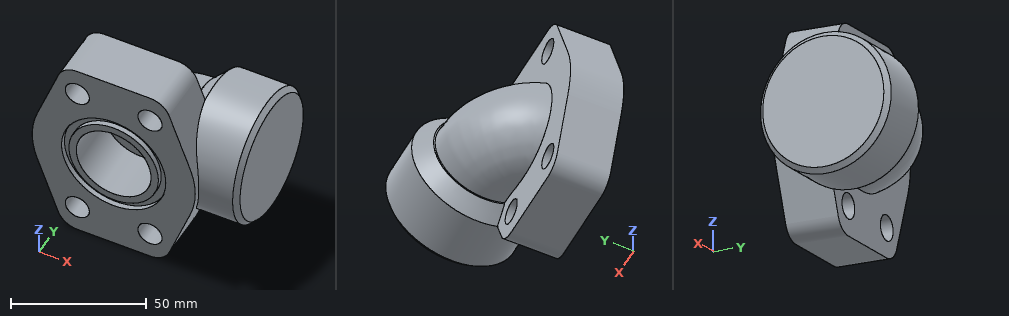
import cadquery as cq
import math

flange_thickness = 22.0
flange_height = 82.0
side_radius = 33.9
corner_radius = 8.5

bolt_x = 15.1
bolt_z = 29.4
bolt_diameter = 10.0

bore_diameter = 31.05
bore_depth = flange_thickness
groove_inner_diameter = 37.2
groove_outer_diameter = 43.3
groove_depth = 2.3

outlet_axis_y = 30.0
outlet_radius = 27.3
outlet_start_x = 20.5
outlet_end_x = 83.9 - side_radius
outlet_cone_length = 6.0
outlet_chamfer = 2.0
elbow_radius = 20.55
bend_radius = 20.6


def front_circle(diameter, depth):
    """Cylinder running from the front face into the flange."""
    return cq.Workplane("XZ").circle(diameter / 2).extrude(-depth)


def make_flange():
    """Hexagonal plate with rounded sides and corners, each arc tangent to the straight edges."""
    corner_z = flange_height / 2 - corner_radius
    center_distance = math.hypot(bolt_x, corner_z)
    slope = math.atan2(corner_z, bolt_x) - math.acos((side_radius - corner_radius) / center_distance)
    side_x = side_radius * math.cos(slope)
    side_z = side_radius * math.sin(slope)
    tangent_x = bolt_x + corner_radius * math.cos(slope)
    tangent_z = corner_z + corner_radius * math.sin(slope)
    middle_angle = (slope + math.pi / 2) / 2
    middle_x = bolt_x + corner_radius * math.cos(middle_angle)
    middle_z = corner_z + corner_radius * math.sin(middle_angle)
    top_z = flange_height / 2

    return (
        cq.Workplane("XZ")
        .moveTo(side_x, -side_z)
        .threePointArc((side_radius, 0), (side_x, side_z))
        .lineTo(tangent_x, tangent_z)
        .threePointArc((middle_x, middle_z), (bolt_x, top_z))
        .lineTo(-bolt_x, top_z)
        .threePointArc((-middle_x, middle_z), (-tangent_x, tangent_z))
        .lineTo(-side_x, side_z)
        .threePointArc((-side_radius, 0), (-side_x, -side_z))
        .lineTo(-tangent_x, -tangent_z)
        .threePointArc((-middle_x, -middle_z), (-bolt_x, -top_z))
        .lineTo(bolt_x, -top_z)
        .threePointArc((middle_x, -middle_z), (tangent_x, -tangent_z))
        .close()
        .extrude(-flange_thickness)
    )


def make_elbow():
    """Quarter bend from the flange axis round to the outlet axis."""
    bend_y = outlet_axis_y - bend_radius
    return (
        cq.Workplane("XZ", origin=(0, bend_y, 0))
        .circle(elbow_radius)
        .revolve(90, (bend_radius, 0, 0), (bend_radius, -1, 0))
    )


def make_outlet():
    """Round outlet with a 45 degree shoulder cone and a chamfered end."""
    cone_radius = outlet_radius - outlet_cone_length
    return (
        cq.Workplane("XY", origin=(0, outlet_axis_y, 0))
        .moveTo(outlet_start_x, 0)
        .lineTo(outlet_start_x, cone_radius)
        .lineTo(outlet_start_x + outlet_cone_length, outlet_radius)
        .lineTo(outlet_end_x - outlet_chamfer, outlet_radius)
        .lineTo(outlet_end_x, outlet_radius - outlet_chamfer)
        .lineTo(outlet_end_x, 0)
        .close()
        .revolve(360, (0, 0, 0), (1, 0, 0))
    )


bolt_holes = (
    cq.Workplane("XZ")
    .rect(2 * bolt_x, 2 * bolt_z, forConstruction=True)
    .vertices()
    .circle(bolt_diameter / 2)
    .extrude(-flange_thickness)
)
bore = front_circle(bore_diameter, bore_depth)
groove = front_circle(groove_outer_diameter, groove_depth).cut(
    front_circle(groove_inner_diameter, groove_depth)
)

body = make_flange().union(make_elbow()).union(make_outlet())
result = body.cut(bolt_holes).cut(bore).cut(groove)